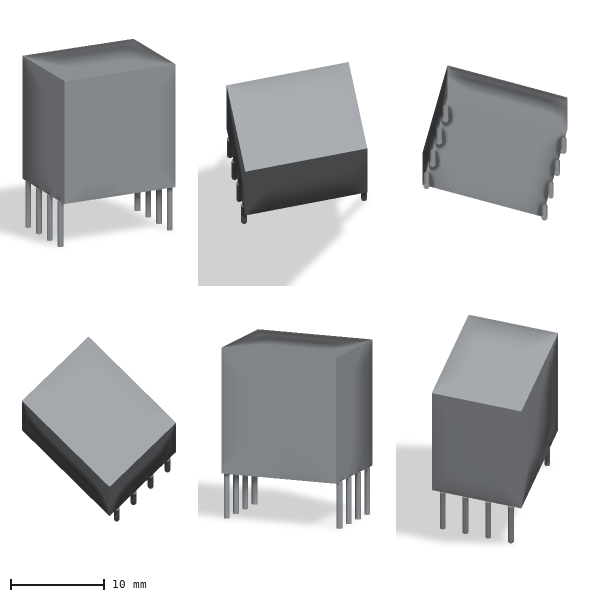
import cadquery as cq

total_height = 18.85
pin_length = 5.09
housing_width = 10.0
housing_depth = 13.29
housing_height = total_height - pin_length

pin_diameter = 0.62
pins_per_row = 4
pin_pitch = 2.55
overall_depth = 13.69
row_spacing = overall_depth - pin_diameter


def make_housing():
    return cq.Workplane("XY").box(
        housing_width, housing_depth, housing_height, centered=(True, True, False)
    )


def make_pin(x, y):
    """One round pin running down from the underside of the housing."""
    return cq.Workplane("XY").center(x, y).circle(pin_diameter / 2).extrude(-pin_length)


housing = make_housing()

pins = []
for y in (-row_spacing / 2, row_spacing / 2):
    for column in range(pins_per_row):
        x = (column - (pins_per_row - 1) / 2) * pin_pitch
        pins.append(make_pin(x, y))

result = cq.Compound.makeCompound([housing.val(), *[pin.val() for pin in pins]])